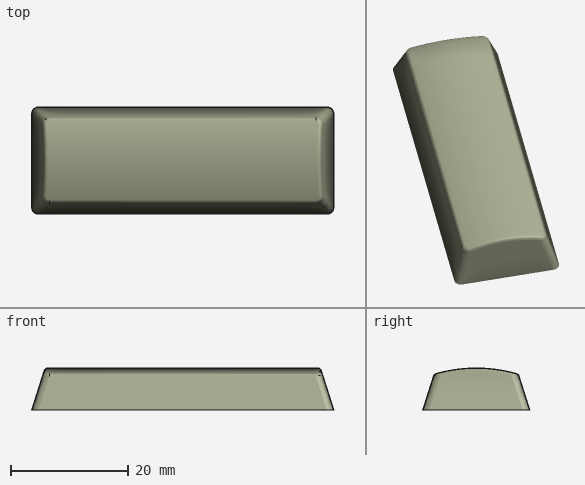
import cadquery as cq
import math

length = 51.64
width = 18.3
height = 7.2

wall_draft = 17.6
corner_radius = 1.25
crown_radius = 25.0
rim_radius = 0.65


def drafted_block():
    """Block with leaning walls, reaching past the crown so the crown can trim it."""
    block_height = height + rim_radius
    inset = block_height * math.tan(math.radians(wall_draft))
    block = (
        cq.Workplane("XY")
        .rect(length, width)
        .workplane(offset=block_height)
        .rect(length - 2 * inset, width - 2 * inset)
        .loft(ruled=True)
    )
    sloping_corners = block.edges("not(#Z)")
    return sloping_corners.fillet(corner_radius)


def crown_cylinder():
    """Cylinder along X whose highest line is the top of the part."""
    return (
        cq.Workplane("YZ", origin=(-length / 2, 0, 0))
        .center(0, height - crown_radius)
        .circle(crown_radius)
        .extrude(length)
    )


def crowned_cap():
    """Drafted block trimmed by the crown and rounded around the rim."""
    cap = drafted_block().intersect(crown_cylinder())
    crown = cap.faces("%CYLINDER").faces(">Z")
    return crown.edges().fillet(rim_radius)


result = crowned_cap()